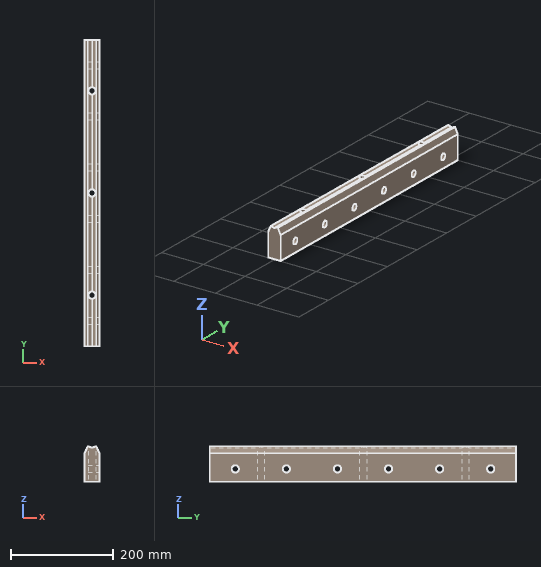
import cadquery as cq

length = 600.0
width = 30.0
height = 69.5

shoulder_height = 56.0
top_width = 17.0
groove_depth = 2.65

hole_diameter = 14.0
cross_hole_count = 6
cross_hole_height = 25.0
vertical_hole_count = 3


def evenly_spaced(count):
    """Hole positions along the bar, with half a pitch left at each end."""
    pitch = length / count
    return [(i + 0.5) * pitch - length / 2 for i in range(count)]


def make_bar():
    """Bar with sloped shoulders and a shallow V-groove along the top."""
    return (
        cq.Workplane("XZ")
        .moveTo(-width / 2, 0)
        .lineTo(width / 2, 0)
        .lineTo(width / 2, shoulder_height)
        .lineTo(top_width / 2, height)
        .lineTo(0, height - groove_depth)
        .lineTo(-top_width / 2, height)
        .lineTo(-width / 2, shoulder_height)
        .close()
        .extrude(length / 2, both=True)
    )


def make_cross_holes():
    """Cutters for the row of holes through both flanks."""
    return (
        cq.Workplane("YZ")
        .pushPoints([(y, cross_hole_height) for y in evenly_spaced(cross_hole_count)])
        .circle(hole_diameter / 2)
        .extrude(width, both=True)
    )


def make_vertical_holes():
    """Cutters for the vertical screw holes, from the groove through the base."""
    return (
        cq.Workplane("XY")
        .pushPoints([(0, y) for y in evenly_spaced(vertical_hole_count)])
        .circle(hole_diameter / 2)
        .extrude(height)
    )


result = make_bar().cut(make_cross_holes()).cut(make_vertical_holes())